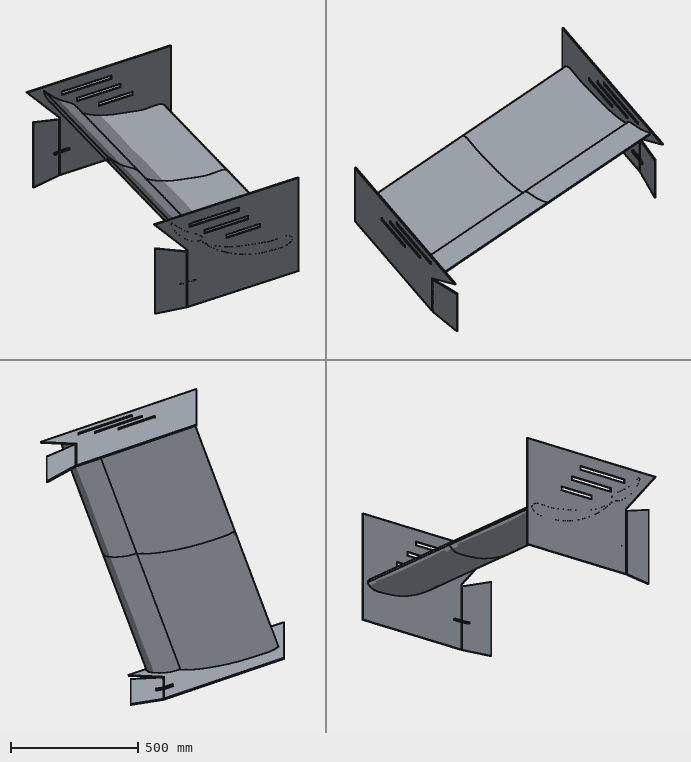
import cadquery as cq
import math


span = 1030.0
half_span = span / 2
plate_thickness = 5.0
plate_length = 650.0
plate_height = 450.0
plate_foot_length = 501.0
notch_height = 275.0

slot_height = 15.0
slots = [
    (269.0, 224.0, 384.0),
    (227.0, 197.0, 330.0),
    (173.0, 152.0, 273.0),
]

panel_gap = 5.0
panel_start = plate_foot_length + panel_gap
panel_end = 633.0
panel_angle = 10.3
panel_inner_height = 270.0
panel_outer_height = 314.0

strap_bottom = 115.0
strap_height = 4.0
strap_thickness = 8.0
strap_start = 461.0
strap_end = 531.0

main_nose = (-23.0, 163.0)
main_tail = (-432.0, 288.0)
main_top = [(-36.0, 180.0), (-103, 185.0), (-192.0, 197.0), (-278, 213.0), (-369.0, 247.0)]
main_bottom = [(-360, 225.0), (-278, 177.0), (-185, 146.0), (-103, 138.0), (-41, 145.0)]

flap_nose = (-430.0, 309.0)
flap_tail = (-575.0, 435.0)
flap_top = [(-440.0, 321.0), (-494, 358.0), (-536, 393.0)]
flap_bottom = [(-562.0, 397.0), (-530.0, 351.0), (-489.0, 315.0), (-453, 300.0), (-435.0, 302.0)]


def mirrored(body):
    """Return the opposite-hand copy of a left-side body."""
    return body.mirror("YZ")


def make_end_plate():
    outline = [
        (0, 0),
        (0, plate_height),
        (-plate_length, plate_height),
        (-plate_foot_length, notch_height),
        (-plate_foot_length, 0),
    ]
    plate = (
        cq.Workplane("YZ", origin=(-half_span, 0, 0))
        .polyline(outline)
        .close()
        .extrude(plate_thickness)
    )
    for start, length, bottom in slots:
        slot = cq.Workplane("XY").box(plate_thickness, length, slot_height, centered=False)
        plate = plate.cut(slot.translate((-half_span, -start - length, bottom)))
    return plate


def make_toe_panel():
    length = (panel_end - panel_start) / math.cos(math.radians(panel_angle))
    outline = [
        (0, 0),
        (0, panel_inner_height),
        (-length, panel_outer_height),
        (-length, 0),
    ]
    panel = cq.Workplane("YZ").polyline(outline).close().extrude(plate_thickness)
    panel = panel.rotate((0, 0, 0), (0, 0, 1), panel_angle)
    return panel.translate((-half_span, -panel_start, 0))


def make_strap():
    """Strip lying on the inner face of the end plate, bent along the toe panel."""
    slope = math.tan(math.radians(panel_angle))
    inner_face = -half_span + plate_thickness
    bend_x = -half_span + plate_thickness / math.cos(math.radians(panel_angle))
    end_x = bend_x + slope * (strap_end - panel_start)
    outline = [
        (inner_face, -strap_start),
        (bend_x, -panel_start),
        (end_x, -strap_end),
        (end_x + strap_thickness, -strap_end),
        (bend_x + strap_thickness, -panel_start),
        (inner_face + strap_thickness, -strap_start),
    ]
    return (
        cq.Workplane("XY", origin=(0, 0, strap_bottom))
        .polyline(outline)
        .close()
        .extrude(strap_height)
    )


def make_wing_half(nose, top, tail, bottom):
    """Extrude one section from the left end plate to the middle of the span."""
    return (
        cq.Workplane("YZ", origin=(-half_span + plate_thickness, 0, 0))
        .moveTo(*nose)
        .spline([*top, tail], includeCurrent=True)
        .spline([*bottom, nose], includeCurrent=True)
        .close()
        .extrude(half_span - plate_thickness)
    )


left_bodies = [
    make_end_plate(),
    make_toe_panel(),
    make_strap(),
    make_wing_half(main_nose, main_top, main_tail, main_bottom),
    make_wing_half(flap_nose, flap_top, flap_tail, flap_bottom),
]

bodies = []
for left_body in left_bodies:
    bodies.append(left_body.val())
    bodies.append(mirrored(left_body).val())

result = cq.Compound.makeCompound(bodies)